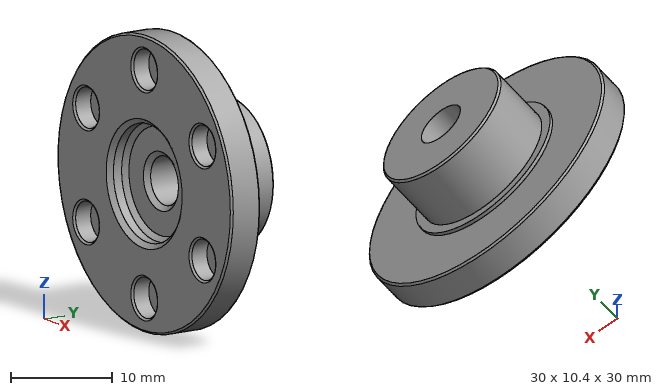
import cadquery as cq

flange_radius = 15.0
flange_thickness = 3.5
step_radius = 8.55
step_height = 0.4
hub_radius = 7.5
total_length = 10.4
edge_chamfer = 0.2

recess_radius = 6.0
recess_chamfer = 0.5
recess_depth = 2.0

bore_radius = 2.5
bore_chamfer = 0.5

hole_count = 6
hole_circle_radius = 11.52
hole_radius = 2.07
hole_depth = 2.0
hole_chamfer = 0.2


def revolve_profile(points):
    """Revolve a closed (radius, y) profile about the Y axis."""
    return cq.Workplane("XY").polyline(points).close().revolve(360, (0, 0, 0), (0, 1, 0))


def make_body():
    step_end = flange_thickness + step_height
    return revolve_profile([
        (0, 0),
        (flange_radius - edge_chamfer, 0),
        (flange_radius, edge_chamfer),
        (flange_radius, flange_thickness - edge_chamfer),
        (flange_radius - edge_chamfer, flange_thickness),
        (step_radius, flange_thickness),
        (step_radius, step_end),
        (hub_radius, step_end),
        (hub_radius, total_length - edge_chamfer),
        (hub_radius - edge_chamfer, total_length),
        (0, total_length),
    ])


def make_center_cut():
    """Recess and the chamfered through bore below it."""
    return revolve_profile([
        (0, 0),
        (recess_radius + recess_chamfer, 0),
        (recess_radius, recess_chamfer),
        (recess_radius, recess_depth - recess_chamfer),
        (recess_radius - recess_chamfer, recess_depth),
        (bore_radius + bore_chamfer, recess_depth),
        (bore_radius, recess_depth + bore_chamfer),
        (bore_radius, total_length),
        (0, total_length),
    ])


def make_flange_holes():
    hole = revolve_profile([
        (0, 0),
        (hole_radius + hole_chamfer, 0),
        (hole_radius, hole_chamfer),
        (hole_radius, hole_depth),
        (0, hole_depth),
    ]).translate((0, 0, hole_circle_radius))
    holes = cq.Workplane("XY")
    for index in range(hole_count):
        angle = index * 360 / hole_count
        holes = holes.add(hole.rotate((0, 0, 0), (0, 1, 0), angle))
    return holes.combine()


result = make_body().cut(make_center_cut()).cut(make_flange_holes())